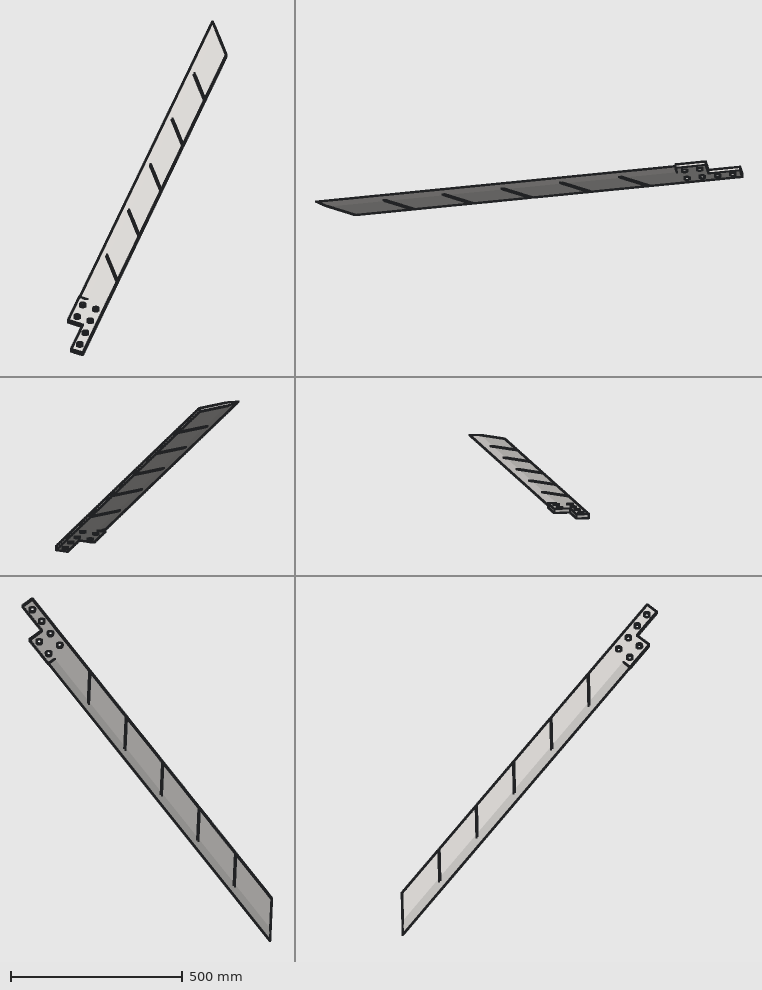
import cadquery as cq

length = 1250.0
width = 82.0
thickness = 12.0
tip_drop = 99.0

tang_left = 46.0
shoulder_y = 94.0
bevel_start_y = 184.0

bevel_width = 25.0

hole_diameter = 16.0
first_hole_y = 25.0
hole_pitch = 45.0
tang_hole_x = 64.0
shank_hole_columns = (20.0, 61.0)

groove_count = 6
groove_pitch = 175.0
groove_span = 6.0
groove_depth = 1.0


def make_blank():
    outline = [
        (tang_left, 0),
        (width, 0),
        (width, length - tip_drop),
        (0, length),
        (0, shoulder_y),
        (tang_left, shoulder_y),
    ]
    return cq.Workplane("XY").polyline(outline).close().extrude(thickness)


def make_bevel(face_z):
    """Wedge that slopes from the given flat face to the mid-height cutting edge."""
    profile = [(0, thickness / 2), (bevel_width, face_z), (0, face_z)]
    wedge = cq.Workplane("XZ").polyline(profile).close().extrude(-(length - bevel_start_y))
    return wedge.translate((0, bevel_start_y, 0))


def make_groove(center_y, bottom_z):
    """Slanted slot crossing the blade; center_y is its middle at the cutting edge."""
    half_span = groove_span / 2
    outline = [
        (0, center_y - half_span),
        (width, center_y - tip_drop - half_span),
        (width, center_y - tip_drop + half_span),
        (0, center_y + half_span),
    ]
    slot = cq.Workplane("XY").polyline(outline).close().extrude(groove_depth)
    return slot.translate((0, 0, bottom_z))


def make_holes():
    centers = [(tang_hole_x, first_hole_y + row * hole_pitch) for row in (0, 1)]
    centers += [(x, first_hole_y + row * hole_pitch) for x in shank_hole_columns for row in (2, 3)]
    return cq.Workplane("XY").pushPoints(centers).circle(hole_diameter / 2).extrude(thickness)


result = make_blank().cut(make_holes())
for face_z in (0, thickness):
    result = result.cut(make_bevel(face_z))

for index in range(groove_count):
    center_y = length - index * groove_pitch
    for bottom_z in (0, thickness - groove_depth):
        result = result.cut(make_groove(center_y, bottom_z))